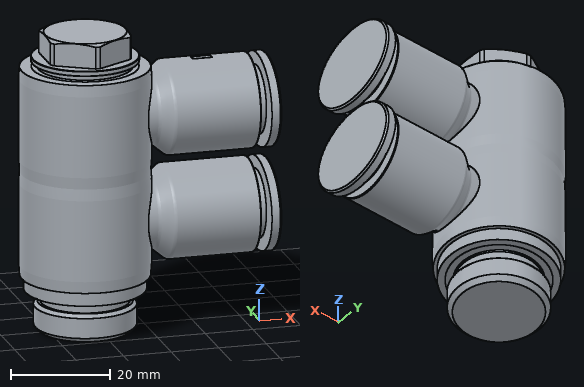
import cadquery as cq
import math

TOTAL_HEIGHT = 62.8
END_CHAMFER = 1.05
THREAD_TOP = 5.3
THREAD_SHOULDER_TOP = 6.0
RELIEF_HEIGHT = 0.3
HOUSING_BASE = 8.55
SPIGOT_HEIGHT = 2.95
SLEEVE_BASE = HOUSING_BASE + SPIGOT_HEIGHT
SLEEVE_HEIGHT = 44.0
SECTION_COUNT = 2
SECTION_HEIGHT = SLEEVE_HEIGHT / SECTION_COUNT
HOUSING_TOP = SLEEVE_BASE + SLEEVE_HEIGHT
HEX_HEIGHT = 5.0
FLANGE_THICKNESS = 1.05
HEX_BASE = TOTAL_HEIGHT - HEX_HEIGHT
FLANGE_BASE = HEX_BASE - FLANGE_THICKNESS

SHAFT_DIAMETER = 21.8
THREAD_DIAMETER = 21.0
THREAD_SHOULDER_DIAMETER = 19.4
UNDERCUT_DIAMETER = 18.2
RELIEF_DIAMETER = 18.6
NECK_DIAMETER = 19.4
FLANGE_DIAMETER = 22.0
FLANGE_CHAMFER = 0.095
HEX_SIDES = 6
HEX_ACROSS_FLATS = 17.0
HEX_CORNER_DIAMETER = 19.1
HEX_TOP_DIAMETER = 16.8
HEX_CHAMFER_HEIGHT = 0.45

SLEEVE_DIAMETER = 27.0
SPIGOT_DIAMETER = 25.0
TAPER_LENGTH = 2.45
TAPER_DEPTH = 0.2

PORT_DIAMETER = 19.7
PORT_NECK_DIAMETER = 15.2
PORT_CONE_START = 13.6
PORT_CONE_END = 16.3
PORT_END = 34.2
PORT_CONE_FILLET = 1.0
PORT_END_CHAMFER = 0.16
PORT_OFFSET = 0.95
PORT_HEIGHTS = [
    SLEEVE_BASE + (i + 0.5) * SECTION_HEIGHT + PORT_OFFSET for i in range(SECTION_COUNT)
]

PAD_START = 22.4
PAD_LENGTH = 4.0
PAD_WIDTH = 1.5

COLLAR_NECK_DIAMETER = 14.2
COLLAR_FLANGE_START = 36.05
COLLAR_END = 38.2
COLLAR_FLANGE_WIDTH = 22.55
COLLAR_FLANGE_HEIGHT = 19.4
COLLAR_CHAMFER = 0.4


def revolve_about_z(outline):
    """Solid of revolution about Z from (radius, height) points."""
    return cq.Workplane("XZ").polyline(outline).close().revolve(360, (0, 0), (0, 1))


def make_hex_head():
    """Hexagon with flats facing X, its corners rounded and its top edge coned."""
    hexagon = (
        cq.Workplane("XY", origin=(0, 0, HEX_BASE))
        .polygon(HEX_SIDES, HEX_ACROSS_FLATS / math.cos(math.pi / HEX_SIDES))
        .extrude(HEX_HEIGHT)
        .rotate((0, 0, 0), (0, 0, 1), 180 / HEX_SIDES)
    )
    corner_radius = HEX_CORNER_DIAMETER / 2
    envelope = revolve_about_z([
        (0, HEX_BASE),
        (corner_radius, HEX_BASE),
        (corner_radius, TOTAL_HEIGHT - HEX_CHAMFER_HEIGHT),
        (HEX_TOP_DIAMETER / 2, TOTAL_HEIGHT),
        (0, TOTAL_HEIGHT),
    ])
    return hexagon.intersect(envelope)


def make_bolt():
    """Fitting bolt: thread-size end, shaft, neck, flange and hexagon head."""
    thread_radius = THREAD_DIAMETER / 2
    flange_radius = FLANGE_DIAMETER / 2
    turned = revolve_about_z([
        (0, 0),
        (thread_radius - END_CHAMFER, 0),
        (thread_radius, END_CHAMFER),
        (thread_radius, THREAD_TOP),
        (THREAD_SHOULDER_DIAMETER / 2, THREAD_SHOULDER_TOP),
        (UNDERCUT_DIAMETER / 2, THREAD_SHOULDER_TOP),
        (UNDERCUT_DIAMETER / 2, HOUSING_BASE - RELIEF_HEIGHT),
        (RELIEF_DIAMETER / 2, HOUSING_BASE),
        (SHAFT_DIAMETER / 2, HOUSING_BASE),
        (SHAFT_DIAMETER / 2, HOUSING_TOP),
        (NECK_DIAMETER / 2, HOUSING_TOP),
        (NECK_DIAMETER / 2, FLANGE_BASE),
        (flange_radius - FLANGE_CHAMFER, FLANGE_BASE),
        (flange_radius, FLANGE_BASE + FLANGE_CHAMFER),
        (flange_radius, HEX_BASE - FLANGE_CHAMFER),
        (flange_radius - FLANGE_CHAMFER, HEX_BASE),
        (0, HEX_BASE),
    ])
    return turned.union(make_hex_head())


def make_sleeve_section(base):
    """One section of the sleeve, tapered slightly at both ends."""
    radius = SLEEVE_DIAMETER / 2
    top = base + SECTION_HEIGHT
    return revolve_about_z([
        (0, base),
        (radius - TAPER_DEPTH, base),
        (radius, base + TAPER_LENGTH),
        (radius, top - TAPER_LENGTH),
        (radius - TAPER_DEPTH, top),
        (0, top),
    ])


def make_port(height):
    """Port body along +X: neck, cone with rounded ends, and cylinder."""
    neck_radius = PORT_NECK_DIAMETER / 2
    port_radius = PORT_DIAMETER / 2
    port = (
        cq.Workplane("XY")
        .polyline([
            (0, 0),
            (0, neck_radius),
            (PORT_CONE_START, neck_radius),
            (PORT_CONE_END, port_radius),
            (PORT_END, port_radius),
            (PORT_END, 0),
        ])
        .close()
        .revolve(360, (0, 0), (1, 0))
    )
    margin = PORT_CONE_FILLET
    around_cone = cq.selectors.BoxSelector(
        (PORT_CONE_START - margin, -PORT_DIAMETER, -PORT_DIAMETER),
        (PORT_CONE_END + margin, PORT_DIAMETER, PORT_DIAMETER),
    )
    port = port.edges(around_cone).edges("%CIRCLE").fillet(PORT_CONE_FILLET)
    port = port.faces(">X").chamfer(PORT_END_CHAMFER)
    return port.translate((0, 0, height))


def make_pad(height):
    """Flat-topped pad level with the crown of a port, filled down to the port axis."""
    return (
        cq.Workplane("XY", origin=(PAD_START + PAD_LENGTH / 2, 0, height))
        .rect(PAD_LENGTH, PAD_WIDTH)
        .extrude(PORT_DIAMETER / 2)
    )


def make_housing():
    """Sleeve with two ports and a spigot, bored through for the bolt shaft."""
    housing = (
        cq.Workplane("XY", origin=(0, 0, HOUSING_BASE))
        .circle(SPIGOT_DIAMETER / 2)
        .extrude(SPIGOT_HEIGHT)
    )
    for i in range(SECTION_COUNT):
        housing = housing.union(make_sleeve_section(SLEEVE_BASE + i * SECTION_HEIGHT))
    for height in PORT_HEIGHTS:
        housing = housing.union(make_port(height))
    housing = housing.union(make_pad(PORT_HEIGHTS[-1]))
    bore = (
        cq.Workplane("XY", origin=(0, 0, HOUSING_BASE))
        .circle(SHAFT_DIAMETER / 2)
        .extrude(HOUSING_TOP - HOUSING_BASE)
    )
    return housing.cut(bore)


def make_collar(height):
    """Release collar at the end of a port: round neck and oval flange."""
    flange = (
        cq.Workplane("YZ", origin=(COLLAR_FLANGE_START, 0, height))
        .ellipse(COLLAR_FLANGE_WIDTH / 2, COLLAR_FLANGE_HEIGHT / 2)
        .extrude(COLLAR_END - COLLAR_FLANGE_START)
        .faces(">X")
        .chamfer(COLLAR_CHAMFER)
    )
    neck = (
        cq.Workplane("YZ", origin=(PORT_END, 0, height))
        .circle(COLLAR_NECK_DIAMETER / 2)
        .extrude(COLLAR_FLANGE_START - PORT_END)
    )
    return neck.union(flange)


bolt = make_bolt()
housing = make_housing()
collars = [make_collar(height) for height in PORT_HEIGHTS]

result = cq.Compound.makeCompound(
    [bolt.val(), housing.val(), *[collar.val() for collar in collars]]
)